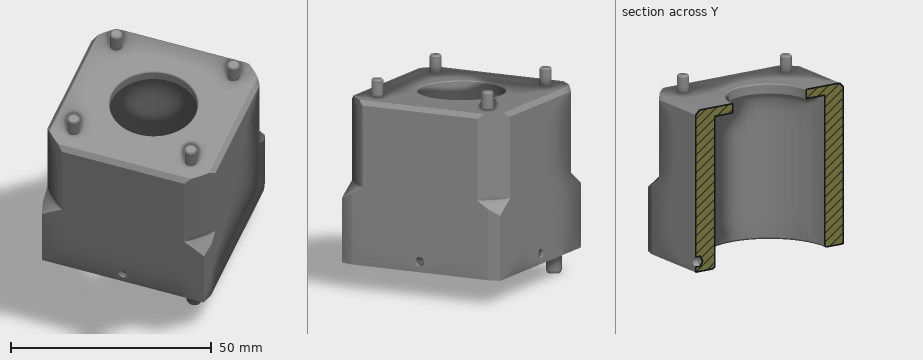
import cadquery as cq
import math

body_width = 44.5
total_height = 52.5
top_pin_length = 4.5
bottom_pin_length = 6.0
body_height = total_height - top_pin_length - bottom_pin_length
half_width = body_width / 2
top_chamfer = 1.15

relief_radius = 27.5
relief_start = 20.0
flare_angle = 45.0
flare_outer_radius = 32.55

corner_cut_length = 3.0
corner_cut_angle = 15.0
corner_cut_depth = corner_cut_length * math.tan(math.radians(corner_cut_angle))

lip_diameter = 22.0
lip_thickness = 2.5
lip_chamfer = 0.2
cavity_diameter = 33.0
cavity_mouth_diameter = 34.0
cavity_chamfer = (cavity_mouth_diameter - cavity_diameter) / 2

top_pin_diameter = 3.0
top_pin_tip_diameter = 2.45
top_pin_tip_height = 0.35
top_pin_spacing = 31.05
bottom_pin_diameter = 4.0
bottom_pin_tip_diameter = 3.35
bottom_pin_tip_height = 0.65
bottom_pin_offset = 17.0

side_hole_diameter = 2.45
side_hole_height = 2.7
side_hole_depth = 1.5
dimple_diameter = 1.75
dimple_depth = 0.5


def make_block():
    """Octagonal block: a square with slanted cuts along its vertical corners."""
    x_inner = half_width - corner_cut_depth
    y_inner = half_width - corner_cut_length
    outline = [
        (x_inner, half_width),
        (half_width, y_inner),
        (half_width, -y_inner),
        (x_inner, -half_width),
        (-x_inner, -half_width),
        (-half_width, -y_inner),
        (-half_width, y_inner),
        (-x_inner, half_width),
    ]
    return cq.Workplane("XY").polyline(outline).close().extrude(body_height)


def make_envelope():
    """Revolved limit that rounds the upper corners, with the square's top chamfers."""
    flare_drop = (flare_outer_radius - relief_radius) / math.tan(math.radians(flare_angle))
    profile = [
        (0, 0),
        (flare_outer_radius, 0),
        (flare_outer_radius, relief_start - flare_drop),
        (relief_radius, relief_start),
        (relief_radius, body_height),
        (0, body_height),
    ]
    turned = cq.Workplane("XZ").polyline(profile).close().revolve(360, (0, 0), (0, 1))
    chamfered_box = (
        cq.Workplane("XY")
        .box(body_width, body_width, body_height, centered=(True, True, False))
        .faces(">Z")
        .chamfer(top_chamfer)
    )
    return turned.intersect(chamfered_box)


def make_bore():
    """Stepped axial bore with chamfered mouths at both ends."""
    lip_radius = lip_diameter / 2
    cavity_radius = cavity_diameter / 2
    cavity_top = body_height - lip_thickness
    profile = [
        (0, 0),
        (cavity_radius + cavity_chamfer, 0),
        (cavity_radius, cavity_chamfer),
        (cavity_radius, cavity_top),
        (lip_radius, cavity_top),
        (lip_radius, body_height - lip_chamfer),
        (lip_radius + lip_chamfer, body_height),
        (0, body_height),
    ]
    return cq.Workplane("XZ").polyline(profile).close().revolve(360, (0, 0), (0, 1))


def make_pin(diameter, length, tip_diameter, tip_height):
    """Upright pin standing on the origin, with a tapered tip."""
    profile = [
        (0, 0),
        (diameter / 2, 0),
        (diameter / 2, length - tip_height),
        (tip_diameter / 2, length),
        (0, length),
    ]
    return cq.Workplane("XZ").polyline(profile).close().revolve(360, (0, 0), (0, 1))


def make_side_hole():
    """Cutter entering the -Y face: straight hole, then a cone on its axis."""
    floor = side_hole_depth - half_width
    profile = [
        (0, -half_width),
        (side_hole_diameter / 2, -half_width),
        (side_hole_diameter / 2, floor),
        (dimple_diameter / 2, floor),
        (0, floor + dimple_depth),
    ]
    cutter = cq.Workplane("XY").polyline(profile).close().revolve(360, (0, 0), (0, 1))
    return cutter.translate((0, 0, side_hole_height))


result = make_block().intersect(make_envelope()).cut(make_bore())

side_hole = make_side_hole()
for turn in (0, -90):
    result = result.cut(side_hole.rotate((0, 0, 0), (0, 0, 1), turn))

top_pin = make_pin(top_pin_diameter, top_pin_length, top_pin_tip_diameter, top_pin_tip_height)
for x_side in (-1, 1):
    for y_side in (-1, 1):
        pin_x = x_side * top_pin_spacing / 2
        pin_y = y_side * top_pin_spacing / 2
        result = result.union(top_pin.translate((pin_x, pin_y, body_height)))

bottom_pin = make_pin(
    bottom_pin_diameter, bottom_pin_length, bottom_pin_tip_diameter, bottom_pin_tip_height
).rotate((0, 0, 0), (1, 0, 0), 180)
result = result.union(bottom_pin.translate((bottom_pin_offset, -bottom_pin_offset, 0)))